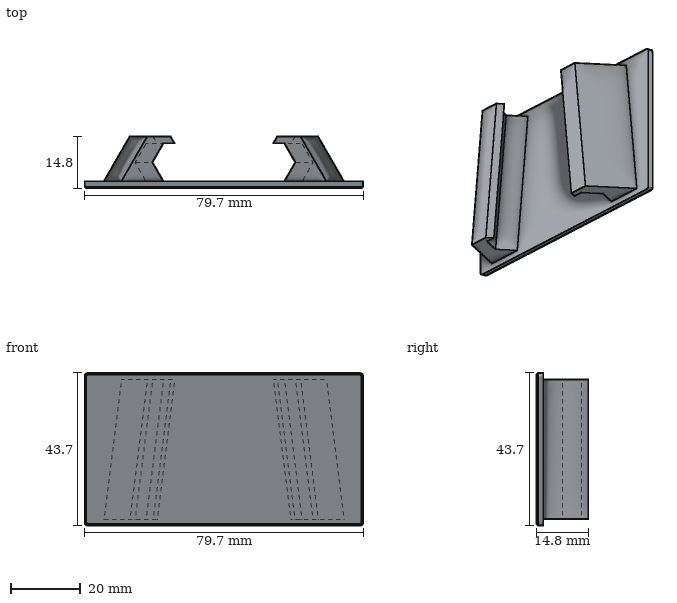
import cadquery as cq
import math

plate_length = 79.7
plate_height = 43.7
plate_thickness = 2.0
corner_radius = 0.95
front_chamfer = 0.5

total_depth = 14.8
clip_height = 40.0
clip_spread = 5.0
clip_slope = math.radians(60)
outer_foot_x = 29.3
inner_foot_x = 17.3
notch_rise = 5.4
hook_thickness = 2.0
hook_reach = 3.2
sink = 0.4

clip_depth = total_depth - plate_thickness


def lean(rise):
    """Sideways run of a clip flank over the given rise."""
    return rise / math.tan(clip_slope)


def make_plate():
    return (
        cq.Workplane("XY")
        .box(plate_length, plate_thickness, plate_height)
        .translate((0, plate_thickness / 2, 0))
        .edges("|Y").fillet(corner_radius)
        .faces("<Y").chamfer(front_chamfer)
    )


def clip_outline(shift):
    """Right-hand clip section, moved outward by the given shift."""
    foot_y = plate_thickness
    hook_y = total_depth - hook_thickness
    notch_x = inner_foot_x + lean(notch_rise)
    mouth_x = notch_x - lean(hook_y - foot_y - notch_rise)
    tip_x = mouth_x - hook_reach
    points = [
        (inner_foot_x, foot_y - sink),
        (outer_foot_x, foot_y - sink),
        (outer_foot_x, foot_y),
        (outer_foot_x - lean(clip_depth), total_depth),
        (tip_x + lean(hook_thickness), total_depth),
        (tip_x, hook_y),
        (mouth_x, hook_y),
        (notch_x, foot_y + notch_rise),
        (inner_foot_x, foot_y),
    ]
    return [(x + shift, y) for x, y in points]


def make_clip():
    return (
        cq.Workplane("XY")
        .workplane(offset=-clip_height / 2)
        .polyline(clip_outline(clip_spread)).close()
        .workplane(offset=clip_height)
        .polyline(clip_outline(0)).close()
        .loft(ruled=True)
    )


right_clip = make_clip()
left_clip = right_clip.mirror("YZ")
result = make_plate().union(right_clip).union(left_clip)